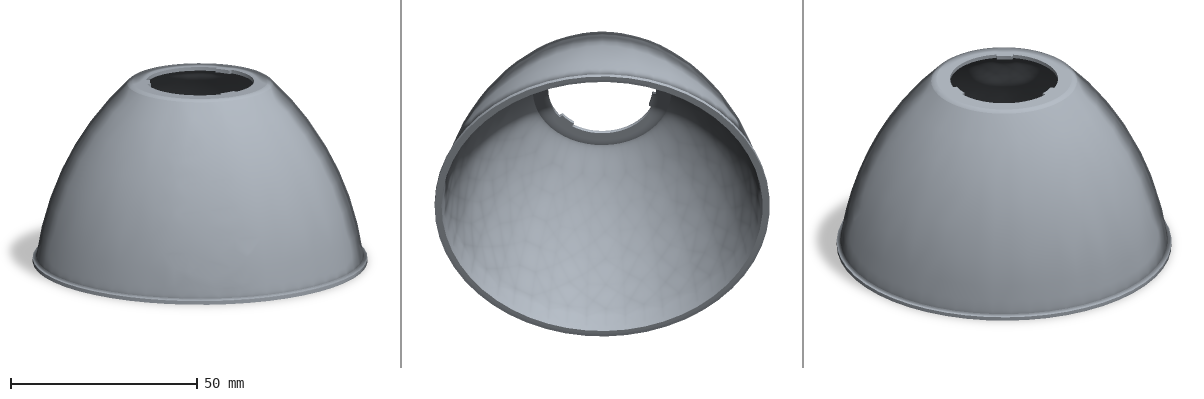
import cadquery as cq
import math

height = 50.0
rim_radius = 45.0
rim_thickness = 1.0
rim_fillet = 0.5

bowl_base_radius = 44.0
bowl_top_radius = 19.0
bowl_arc_radius = 81.5
shoulder_fillet = 2.0
wall = 1.0

opening_radius = 14.5
tab_inner_radius = 13.5
tab_root_radius = opening_radius + 1.0
tab_count = 3
tab_span = 18.0

chord_run = bowl_top_radius - bowl_base_radius
chord_rise = height - rim_thickness
chord = math.hypot(chord_run, chord_rise)
apothem = math.sqrt(bowl_arc_radius**2 - (chord / 2) ** 2)
arc_center_radius = (bowl_base_radius + bowl_top_radius) / 2 - apothem * chord_rise / chord
arc_center_z = (rim_thickness + height) / 2 + apothem * chord_run / chord


def bowl_point(arc_radius, z):
    """Point at height z on an arc concentric with the bowl arc."""
    return (arc_center_radius + math.sqrt(arc_radius**2 - (z - arc_center_z) ** 2), z)


def revolve_dome(arc_radius, bottom, top):
    """Solid dome under an arc concentric with the bowl, between two heights."""
    start = bowl_point(arc_radius, bottom)
    middle = bowl_point(arc_radius, (bottom + top) / 2)
    end = bowl_point(arc_radius, top)
    profile = (
        cq.Workplane("XZ")
        .moveTo(0, bottom)
        .lineTo(*start)
        .threePointArc(middle, end)
        .lineTo(0, top)
        .close()
    )
    return profile.revolve(360, (0, 0, 0), (0, 1, 0))


def make_outer_body():
    """Solid bowl with a rounded shoulder, standing on the rim disc with a small root fillet."""
    dome = revolve_dome(bowl_arc_radius, rim_thickness, height)
    dome = dome.faces(">Z").edges().fillet(shoulder_fillet)
    rim = cq.Workplane("XY").circle(rim_radius).extrude(rim_thickness)
    rim_root = cq.selectors.RadiusNthSelector(-2)
    return rim.union(dome).faces("<Z[1]").edges(rim_root).fillet(rim_fillet)


def make_tab(start_angle):
    """Ring sector as thick as the top plate, counter-clockwise from its start angle."""
    profile = (
        cq.Workplane("XZ")
        .moveTo(tab_inner_radius, height - wall)
        .lineTo(tab_root_radius, height - wall)
        .lineTo(tab_root_radius, height)
        .lineTo(tab_inner_radius, height)
        .close()
    )
    tab = profile.revolve(tab_span, (0, 0, 0), (0, 1, 0))
    return tab.rotate((0, 0, 0), (0, 0, 1), start_angle)


cavity = revolve_dome(bowl_arc_radius - wall, 0, height - wall)
opening = cq.Workplane("XY").circle(opening_radius).extrude(height)

result = make_outer_body().cut(cavity).cut(opening)
for index in range(tab_count):
    result = result.union(make_tab(index * 360 / tab_count))